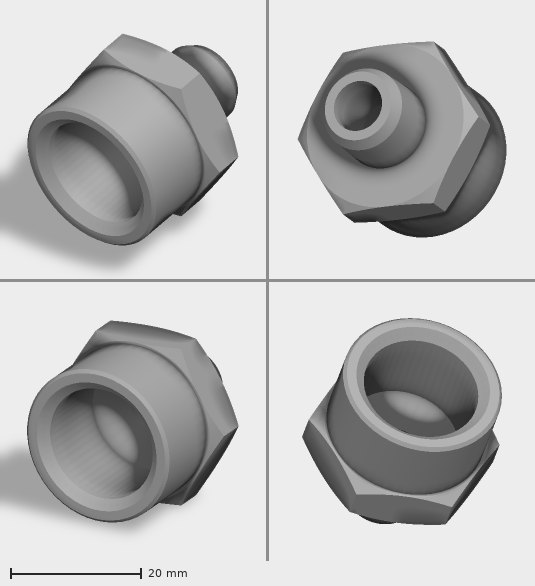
import cadquery as cq
import math

socket_length = 12.0
hex_length = 7.0
spigot_length = 11.0
spigot_tip_length = 1.9

hex_across_corners = 30.02
hex_across_flats = hex_across_corners * math.cos(math.radians(30))
hex_chamfer_angle = 30.0

socket_diameter = 25.0
socket_chamfer = 0.5
spigot_root_diameter = 13.63
spigot_shoulder_diameter = 13.1
spigot_tip_diameter = 11.0

bore_mouth_diameter = 21.0
bore_diameter = 18.0
bore_mouth_angle = 45.0
bore_depth = 15.0
bore_floor_angle = 59.0
through_hole_diameter = 8.0

hex_start = socket_length
hex_end = hex_start + hex_length
total_length = hex_end + spigot_length
spigot_shoulder = total_length - spigot_tip_length


def revolve_about_y(profile):
    """Revolve a closed (radius, y) outline about the Y axis."""
    return cq.Workplane("XY").polyline(profile).close().revolve(360, (0, 0, 0), (0, 1, 0))


def make_hexagon():
    """Hexagon with corners on X, its corners cut back by a cone at both ends."""
    prism = (
        cq.Workplane("XZ", origin=(0, hex_start, 0))
        .polygon(6, hex_across_corners)
        .extrude(-hex_length)
    )
    face_radius = hex_across_flats / 2
    rim_radius = hex_across_corners / 2 + 0.3
    rim_setback = (rim_radius - face_radius) * math.tan(math.radians(hex_chamfer_angle))
    envelope = revolve_about_y([
        (0, hex_start),
        (face_radius, hex_start),
        (rim_radius, hex_start + rim_setback),
        (rim_radius, hex_end - rim_setback),
        (face_radius, hex_end),
        (0, hex_end),
    ])
    return prism.intersect(envelope)


def make_socket():
    """Large cylinder with a chamfered free end."""
    radius = socket_diameter / 2
    return revolve_about_y([
        (0, 0),
        (radius - socket_chamfer, 0),
        (radius, socket_chamfer),
        (radius, hex_start),
        (0, hex_start),
    ])


def make_spigot():
    """Slightly tapered spigot with a steeper conical tip."""
    return revolve_about_y([
        (0, hex_end),
        (spigot_root_diameter / 2, hex_end),
        (spigot_shoulder_diameter / 2, spigot_shoulder),
        (spigot_tip_diameter / 2, total_length),
        (0, total_length),
    ])


def make_bore():
    """Conical mouth, straight bore, conical floor and through hole."""
    mouth_radius = bore_mouth_diameter / 2
    bore_radius = bore_diameter / 2
    hole_radius = through_hole_diameter / 2
    mouth_depth = (mouth_radius - bore_radius) / math.tan(math.radians(bore_mouth_angle))
    floor_height = (bore_radius - hole_radius) / math.tan(math.radians(bore_floor_angle))
    return revolve_about_y([
        (0, 0),
        (mouth_radius, 0),
        (bore_radius, mouth_depth),
        (bore_radius, bore_depth),
        (hole_radius, bore_depth + floor_height),
        (hole_radius, total_length),
        (0, total_length),
    ])


result = make_hexagon().union(make_socket()).union(make_spigot()).cut(make_bore())